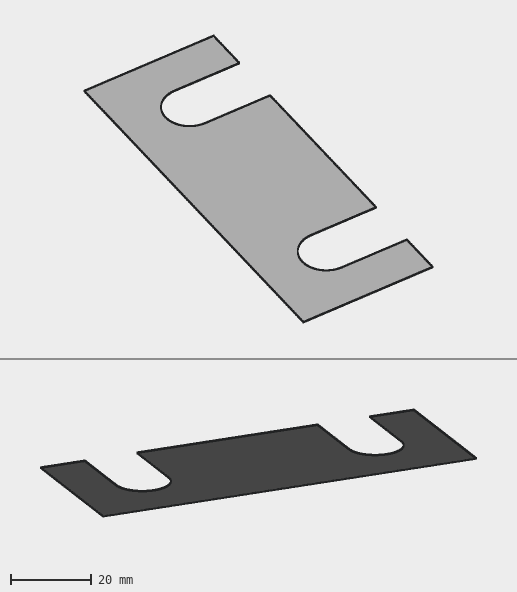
import cadquery as cq

length = 101.6
width = 38.1
thickness = 0.25

slot_width = 14.2
slot_spacing = 63.4
slot_depth = 26.3

slot_radius = slot_width / 2
straight_depth = slot_depth - slot_radius
back_edge = width / 2
arc_center_y = back_edge - straight_depth


def open_slot(center_x):
    """Cutter for one slot: straight sides ending in a half circle."""
    left = center_x - slot_radius
    right = center_x + slot_radius
    return (
        cq.Workplane("XY")
        .moveTo(left, back_edge)
        .lineTo(left, arc_center_y)
        .threePointArc((center_x, back_edge - slot_depth), (right, arc_center_y))
        .lineTo(right, back_edge)
        .close()
        .extrude(thickness)
    )


result = cq.Workplane("XY").box(length, width, thickness, centered=(True, True, False))
for side in (-1, 1):
    result = result.cut(open_slot(side * slot_spacing / 2))